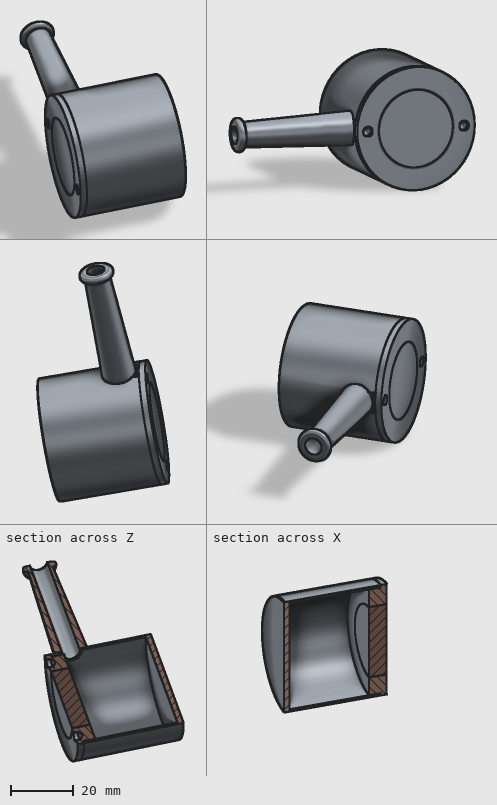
import cadquery as cq
import math


drum_radius = 19.9
overall_depth = 35.0
overall_length = 78.2
wall = 1.0
back_wall = 2.0
back_chamfer = 0.25
cavity_radius = drum_radius - wall
cover_flange = 2.1
spigot_depth = 4.0
cover_back = cover_flange + spigot_depth

groove_setback = 0.5
groove_start = cover_flange + groove_setback
groove_width = 0.5
groove_depth = 0.1

disc_radius = 12.5
disc_recess = 0.1
opening_flare = 0.5

drill_radius = 1.6
drill_offset = 16.25
drill_depth = 1.5
drill_tip_angle = 118.0
drill_tip = drill_radius / math.tan(math.radians(drill_tip_angle / 2))

handle_y = 8.5
handle_end_x = drum_radius - overall_length
bore_radius = 2.8
neck_radius = 3.5
lip_radius = 5.5
lip_width = 2.5
shank_end_radius = 4.1
shank_root_radius = 5.5
shank_root_x = -cavity_radius


def cylinder_y(radius, y_start, y_end):
    """Cylinder on the drum axis between two Y positions."""
    return cq.Workplane("XZ", origin=(0, y_start, 0)).circle(radius).extrude(y_start - y_end)


def cylinder_x(radius, x_start, x_end):
    """Cylinder on the handle axis between two X positions."""
    return cq.Workplane("YZ", origin=(x_start, handle_y, 0)).circle(radius).extrude(x_end - x_start)


def make_drum():
    """Cup open at the front, with a round-ended slot in its wall for the handle neck."""
    drum = cylinder_y(drum_radius, cover_flange, overall_depth).faces(">Y").chamfer(back_chamfer)
    cavity = cylinder_y(cavity_radius, cover_flange, overall_depth - back_wall)
    slot_end = cylinder_x(neck_radius, -drum_radius, 0)
    slot_mouth = (
        cq.Workplane("XY")
        .box(drum_radius, handle_y - cover_flange, 2 * neck_radius, centered=(False, False, True))
        .translate((-drum_radius, cover_flange, 0))
    )
    return drum.cut(cavity).cut(slot_end).cut(slot_mouth)


def drill_cutter(x):
    """Drilled hole with a conical tip, entering the cover face."""
    return (
        cq.Workplane("XY")
        .polyline([(0, 0), (drill_radius, 0), (drill_radius, drill_depth), (0, drill_depth + drill_tip)])
        .close()
        .revolve(360, (0, 0), (0, 1))
        .translate((x, 0, 0))
    )


def groove_cutter():
    """Ring with an arc-shaped inner side, for the groove around the spigot."""
    groove_end = groove_start + groove_width
    return (
        cq.Workplane("XY")
        .moveTo(cavity_radius, groove_start)
        .threePointArc(
            (cavity_radius - groove_depth, groove_start + groove_width / 2),
            (cavity_radius, groove_end),
        )
        .close()
        .revolve(360, (0, 0), (0, 1))
    )


def opening_cutter():
    """Window opening through the cover, flared between the disc and the cover face."""
    return (
        cq.Workplane("XY")
        .moveTo(0, 0)
        .lineTo(disc_radius + opening_flare, 0)
        .lineTo(disc_radius, disc_recess)
        .lineTo(disc_radius, cover_back)
        .lineTo(0, cover_back)
        .close()
        .revolve(360, (0, 0), (0, 1))
    )


def make_cover():
    """Flanged lid with a grooved spigot, a window opening and two drilled holes."""
    flange = cylinder_y(drum_radius, 0, cover_flange)
    spigot = cylinder_y(cavity_radius, cover_flange, cover_back).cut(groove_cutter())
    cover = flange.union(spigot).cut(opening_cutter())
    for x in (-drill_offset, drill_offset):
        cover = cover.cut(drill_cutter(x))
    return cover


def make_disc():
    """Plain window disc that fills the cover opening."""
    return cylinder_y(disc_radius, disc_recess, cover_back)


def make_handle():
    """Tapered tube with a full-round lip, shaped to the drum, and a neck through the drum wall."""
    lip_round = lip_width / 2
    lip_x = handle_end_x + lip_width
    shank = (
        cq.Workplane("XY")
        .moveTo(handle_end_x, 0)
        .lineTo(handle_end_x, lip_radius - lip_round)
        .threePointArc((handle_end_x + lip_round, lip_radius), (lip_x, lip_radius - lip_round))
        .lineTo(lip_x, shank_end_radius)
        .lineTo(shank_root_x, shank_root_radius)
        .lineTo(shank_root_x, 0)
        .close()
        .revolve(360, (0, 0), (1, 0))
        .translate((0, handle_y, 0))
        .cut(cylinder_y(drum_radius, 0, overall_depth))
    )
    neck = cylinder_x(neck_radius, -drum_radius, 0).cut(cylinder_y(cavity_radius, 0, overall_depth))
    bore = cylinder_x(bore_radius, handle_end_x, 0)
    return shank.union(neck).cut(bore)


drum = make_drum()
cover = make_cover()
disc = make_disc()
handle = make_handle()

result = cq.Compound.makeCompound([drum.val(), cover.val(), disc.val(), handle.val()])